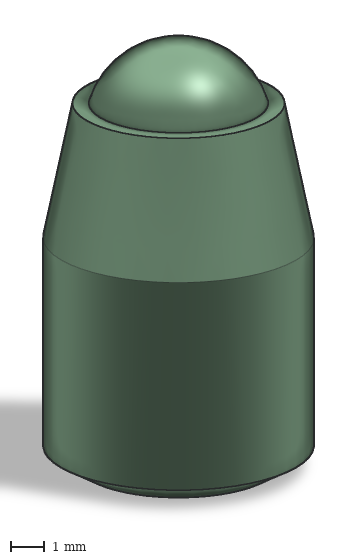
import cadquery as cq
import math

body_radius = 4.0
total_height = 13.25

chamfer_height = 0.6
chamfer_angle = math.radians(30)
chamfer_width = chamfer_height / math.tan(chamfer_angle)

taper_start_z = 7.1
rim_z = 11.3
rim_radius = 3.13

ball_radius = 2.775
ball_centre_z = total_height - ball_radius


def make_body():
    """Revolve the chamfered cylinder and its tapered nose about Z."""
    profile = (
        cq.Workplane("XZ")
        .moveTo(0, 0)
        .lineTo(body_radius - chamfer_width, 0)
        .lineTo(body_radius, chamfer_height)
        .lineTo(body_radius, taper_start_z)
        .lineTo(rim_radius, rim_z)
        .lineTo(0, rim_z)
        .close()
    )
    return profile.revolve(360, (0, 0, 0), (0, 1, 0))


def make_ball():
    """Full sphere whose lower part merges into the body."""
    return cq.Workplane("XY").sphere(ball_radius).translate((0, 0, ball_centre_z))


result = make_body().union(make_ball())